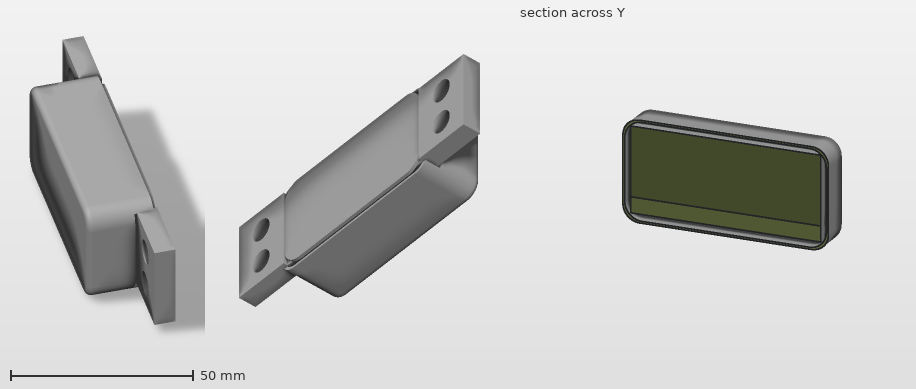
import cadquery as cq

TOTAL_LENGTH = 95.25
TOTAL_DEPTH = 20.4

HOUSING_LENGTH = 61.8
HOUSING_HEIGHT = 30.2
HOUSING_CORNER_RADIUS = 5.1
CAVITY_CORNER_RADIUS = 5.05
FRONT_EDGE_RADIUS = 1.7
SIDE_WALL = 0.71
FRONT_WALL = 0.46
NOTCH_HEIGHT = 26.0
NOTCH_END_DEPTH = 6.9

LID_LENGTH = 57.15
LID_HEIGHT = 28.3
LID_THICKNESS = 1.05
LID_CORNER_RADIUS = 5.9
LID_REAR_DEPTH = 0.3

TAB_HEIGHT = 25.5
TAB_THICKNESS = 6.0
TAB_HOLE_DIAMETER = 7.1
TAB_HOLE_PITCH = 11.2
TAB_HOLE_END_DISTANCE = 9.4

LOWER_BLOCK_HEIGHT = 4.9

RIM_DEPTH = LID_REAR_DEPTH + LID_THICKNESS
FLOOR_DEPTH = TOTAL_DEPTH - FRONT_WALL
TAB_LENGTH = (TOTAL_LENGTH - LID_LENGTH) / 2
CONTENT_RISE = (NOTCH_HEIGHT - TAB_HEIGHT) / 2
CONTENT_BOTTOM = CONTENT_RISE - TAB_HEIGHT / 2
CONTENT_TOP = CONTENT_BOTTOM + TAB_HEIGHT


def plate(length, height, rear_depth, front_depth, corner_radius=0.0, rise=0.0):
    """Upright plate centred on X = 0, between two depths, with its corners rounded about Y."""
    body = cq.Workplane("XY").box(length, front_depth - rear_depth, height)
    if corner_radius > 0:
        body = body.edges("|Y").fillet(corner_radius)
    return body.translate((0, -(front_depth + rear_depth) / 2, rise))


def make_housing():
    shell = plate(HOUSING_LENGTH, HOUSING_HEIGHT, RIM_DEPTH, TOTAL_DEPTH, HOUSING_CORNER_RADIUS)
    shell = shell.faces("<Y").edges().fillet(FRONT_EDGE_RADIUS)
    cavity = plate(
        HOUSING_LENGTH - 2 * SIDE_WALL,
        HOUSING_HEIGHT - 2 * SIDE_WALL,
        RIM_DEPTH,
        FLOOR_DEPTH,
        CAVITY_CORNER_RADIUS,
    )
    end_notches = plate(HOUSING_LENGTH, NOTCH_HEIGHT, RIM_DEPTH, NOTCH_END_DEPTH)
    return shell.cut(cavity).cut(end_notches)


def make_lid():
    return plate(LID_LENGTH, LID_HEIGHT, LID_REAR_DEPTH, RIM_DEPTH, LID_CORNER_RADIUS, CONTENT_RISE)


def make_tab(side):
    """Tab at the -X end (side = -1) or the +X end (side = 1), with two through holes."""
    tab = plate(TAB_LENGTH, TAB_HEIGHT, 0, TAB_THICKNESS)
    hole_offset = TAB_LENGTH / 2 - TAB_HOLE_END_DISTANCE
    tab = (
        tab.faces("<Y")
        .workplane(centerOption="CenterOfBoundBox")
        .center(side * hole_offset, 0)
        .rarray(1, TAB_HOLE_PITCH, 1, 2)
        .hole(TAB_HOLE_DIAMETER)
    )
    return tab.translate((side * (LID_LENGTH + TAB_LENGTH) / 2, 0, CONTENT_RISE))


def make_inner_block(bottom, top):
    """Block between the two tabs that fills the depth from the lid to the front wall."""
    return plate(LID_LENGTH, top - bottom, RIM_DEPTH, FLOOR_DEPTH, rise=(top + bottom) / 2)


housing = make_housing()
lid = make_lid()
tabs = [make_tab(side) for side in (-1, 1)]

block_joint = CONTENT_BOTTOM + LOWER_BLOCK_HEIGHT
lower_block = make_inner_block(CONTENT_BOTTOM, block_joint)
upper_block = make_inner_block(block_joint, CONTENT_TOP)

result = cq.Compound.makeCompound(
    [
        housing.val(),
        lid.val(),
        *[tab.val() for tab in tabs],
        lower_block.val(),
        upper_block.val(),
    ]
)